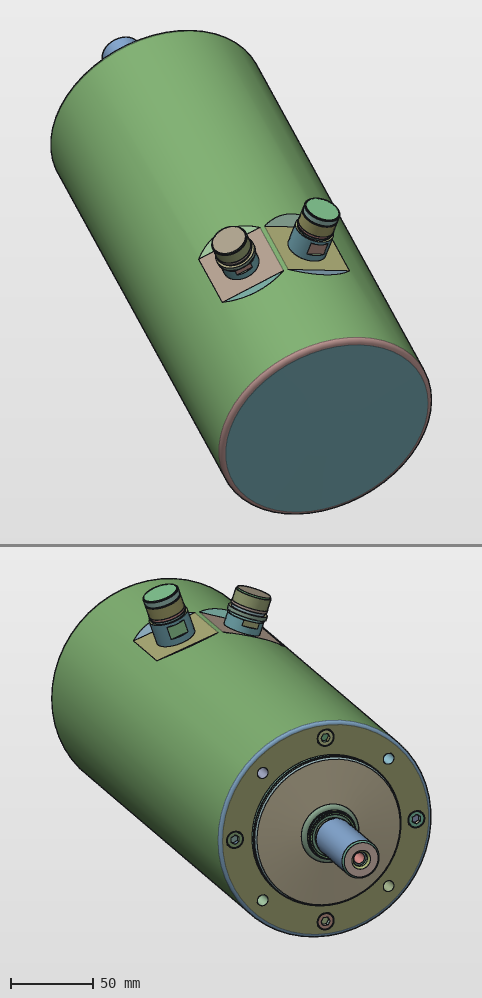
import cadquery as cq
import math

TOTAL_LENGTH = 365.0
BODY_RADIUS = 69.0
FACE_X = 63.0
REAR_CONE_RISE = 1.28
REAR_RIM_X = TOTAL_LENGTH - REAR_CONE_RISE
FRONT_EDGE_RADIUS = 2.2
REAR_EDGE_RADIUS = 3.3

PILOT_RADIUS = 47.5
PILOT_ROOT_RADIUS = 47.8
PILOT_ROOT_X = 61.0
PILOT_CHAMFER = 1.0
CONE_OUTER_X = 58.0
CONE_INNER_X = 55.5
CONE_INNER_RADIUS = 18.5

HUB_RADIUS = 15.7
HUB_FILLET = CONE_INNER_RADIUS - HUB_RADIUS
HUB_FRONT_X = 52.2
SEAL_RADIUS = 15.0
SEAL_FRONT_X = 50.0
SEAL_CHAMFER = 0.5
SEAL_RECESS_RADIUS = 13.5
SEAL_RECESS_DEPTH = 1.0

SHAFT_RADIUS = 12.0
SHAFT_END_CHAMFER = 1.0
SHAFT_TAPER_X = 47.5
SHAFT_NECK_X = 48.5
SHAFT_NECK_RADIUS = 11.3

CENTRE_MOUTH_DIAMETER = 12.0
CENTRE_SINK_DIAMETER = 9.0
CENTRE_SINK_DEPTH = 3.5
THREAD_DIAMETER = 7.0
CENTRE_HOLE_DEPTH = 18.2
DRILL_POINT_ANGLE = 120.0

MOUNT_CIRCLE_RADIUS = 57.5
MOUNT_HOLE_DEPTH = 14.5
SCREW_CIRCLE_RADIUS = 58.8
SCREW_POCKET_DIAMETER = 11.0
SCREW_HEAD_DIAMETER = 10.0
SCREW_POCKET_DEPTH = 6.0
SCREW_SOCKET_WIDTH = 5.0
SCREW_SOCKET_DEPTH = 3.0

SEAT_X = 271.0
SEAT_ANGLE = 19.0
SEAT_RADIUS = 65.7
SEAT_LENGTH = 41.5
SEAT_FLANK_ANGLE = 21.0
SEAT_CUT_HEIGHT = 7.3
SEAT_CUT_WIDTH = 51.0

TALL_STEPS = [
    (15.0, 24.5),
    (16.5, 22.0),
    (18.2, 23.0),
    (26.0, 22.5),
    (26.5, 22.0),
    (30.3, 22.5),
    (31.0, 21.0),
]
SHORT_STEPS = [
    (8.0, 23.0),
    (10.0, 21.0),
    (12.5, 25.0),
    (14.2, 21.0),
    (16.0, 23.0),
    (23.5, 22.5),
    (24.5, 21.0),
]

FLAT_BOTTOM = 4.5
TALL_FLAT_TOP = 12.8
TALL_ACROSS_FLATS = 21.5
SHORT_FLAT_TOP = 8.0
SHORT_ACROSS_FLATS = 20.5


def revolve_about_x(points):
    """Solid of revolution about X from a closed (x, radius) outline."""
    return cq.Workplane("XY").polyline(points).close().revolve(360, (0, 0, 0), (1, 0, 0))


def motor_blank():
    """Housing, pilot, seal hub and shaft turned as one solid."""
    outline = (
        cq.Workplane("XY")
        .moveTo(0, 0)
        .lineTo(0, SHAFT_RADIUS - SHAFT_END_CHAMFER)
        .lineTo(SHAFT_END_CHAMFER, SHAFT_RADIUS)
        .lineTo(SHAFT_TAPER_X, SHAFT_RADIUS)
        .lineTo(SHAFT_NECK_X, SHAFT_NECK_RADIUS)
        .lineTo(SEAL_FRONT_X + SEAL_RECESS_DEPTH, SHAFT_NECK_RADIUS)
        .lineTo(SEAL_FRONT_X + SEAL_RECESS_DEPTH, SEAL_RECESS_RADIUS)
        .lineTo(SEAL_FRONT_X, SEAL_RECESS_RADIUS)
        .lineTo(SEAL_FRONT_X, SEAL_RADIUS - SEAL_CHAMFER)
        .lineTo(SEAL_FRONT_X + SEAL_CHAMFER, SEAL_RADIUS)
        .lineTo(HUB_FRONT_X, SEAL_RADIUS)
        .lineTo(HUB_FRONT_X, HUB_RADIUS)
        .lineTo(CONE_INNER_X - HUB_FILLET, HUB_RADIUS)
        .radiusArc((CONE_INNER_X, CONE_INNER_RADIUS), HUB_FILLET)
        .lineTo(CONE_OUTER_X, PILOT_RADIUS - PILOT_CHAMFER)
        .lineTo(CONE_OUTER_X + PILOT_CHAMFER, PILOT_RADIUS)
        .lineTo(PILOT_ROOT_X, PILOT_RADIUS)
        .lineTo(PILOT_ROOT_X, PILOT_ROOT_RADIUS)
        .lineTo(FACE_X, PILOT_ROOT_RADIUS)
        .lineTo(FACE_X, BODY_RADIUS - FRONT_EDGE_RADIUS)
        .radiusArc((FACE_X + FRONT_EDGE_RADIUS, BODY_RADIUS), FRONT_EDGE_RADIUS)
        .lineTo(REAR_RIM_X - REAR_EDGE_RADIUS, BODY_RADIUS)
        .radiusArc((REAR_RIM_X, BODY_RADIUS - REAR_EDGE_RADIUS), REAR_EDGE_RADIUS)
        .lineTo(TOTAL_LENGTH, 0)
        .close()
    )
    return outline.revolve(360, (0, 0, 0), (1, 0, 0))


def tilt(shape, angle):
    """Turn a shape about the motor axis; a positive angle leans it towards -Y."""
    return shape.rotate((0, 0, 0), (1, 0, 0), angle)


def drill_point(radius):
    """Length of the conical tip left by a drill."""
    return radius / math.tan(math.radians(DRILL_POINT_ANGLE / 2))


def centre_hole():
    """Countersunk, drilled hole along the shaft axis."""
    mouth = CENTRE_MOUTH_DIAMETER / 2
    sink = CENTRE_SINK_DIAMETER / 2
    bore = THREAD_DIAMETER / 2
    return revolve_about_x([
        (0, 0),
        (0, mouth),
        (mouth - sink, sink),
        (CENTRE_SINK_DEPTH, sink),
        (CENTRE_SINK_DEPTH, bore),
        (CENTRE_HOLE_DEPTH, bore),
        (CENTRE_HOLE_DEPTH + drill_point(bore), 0),
    ])


def mount_hole():
    """Tapped blind hole, at the top of the flange before it is turned into place."""
    bore = THREAD_DIAMETER / 2
    hole = revolve_about_x([
        (0, 0),
        (0, bore),
        (MOUNT_HOLE_DEPTH, bore),
        (MOUNT_HOLE_DEPTH + drill_point(bore), 0),
    ])
    return hole.translate((FACE_X, 0, MOUNT_CIRCLE_RADIUS))


def screw_recess():
    """Gap around a sunk screw head together with its hexagon socket."""
    plane = cq.Workplane("YZ", origin=(FACE_X, 0, SCREW_CIRCLE_RADIUS))
    gap = (
        plane.circle(SCREW_POCKET_DIAMETER / 2)
        .circle(SCREW_HEAD_DIAMETER / 2)
        .extrude(SCREW_POCKET_DEPTH)
    )
    corner_diameter = SCREW_SOCKET_WIDTH / math.cos(math.pi / 6)
    socket = plane.polygon(6, corner_diameter).extrude(SCREW_SOCKET_DEPTH)
    return gap.union(socket)


def seat_cut(angle):
    """Flat seat with sloping ends, tilted about the motor axis."""
    half = SEAT_LENGTH / 2
    top = SEAT_RADIUS + SEAT_CUT_HEIGHT
    flare = SEAT_CUT_HEIGHT / math.tan(math.radians(SEAT_FLANK_ANGLE))
    cut = (
        cq.Workplane("XZ")
        .polyline([
            (SEAT_X - half, SEAT_RADIUS),
            (SEAT_X + half, SEAT_RADIUS),
            (SEAT_X + half + flare, top),
            (SEAT_X - half - flare, top),
        ])
        .close()
        .extrude(SEAT_CUT_WIDTH / 2, both=True)
    )
    return tilt(cut, angle)


def build_motor():
    """Turned motor with its shaft, flange holes and connector seats."""
    motor = motor_blank().cut(centre_hole())
    for quarter in range(4):
        motor = motor.cut(tilt(mount_hole(), 45 + 90 * quarter))
        motor = motor.cut(tilt(screw_recess(), 90 * quarter))
    for angle in (-SEAT_ANGLE, SEAT_ANGLE):
        motor = motor.cut(seat_cut(angle))
    return motor


def turned_connector(steps):
    """Stack of cylinders standing on Z = 0, each given as (top height, diameter)."""
    points = [(0, 0)]
    bottom = 0
    for top, diameter in steps:
        points.append((diameter / 2, bottom))
        points.append((diameter / 2, top))
        bottom = top
    points.append((0, bottom))
    return cq.Workplane("XZ").polyline(points).close().revolve(360, (0, 0, 0), (0, 1, 0))


def cut_flats(connector, across_flats, bottom, top):
    """Mill a wrench flat on the -X and +X sides between two heights."""
    waste = (
        cq.Workplane("XY", origin=(0, 0, bottom))
        .pushPoints([(-across_flats, 0), (across_flats, 0)])
        .rect(across_flats, 2 * across_flats)
        .extrude(top - bottom)
    )
    return connector.cut(waste)


def place_on_seat(connector, angle):
    """Stand a connector on the tilted seat floor."""
    return tilt(connector.translate((SEAT_X, 0, SEAT_RADIUS)), angle)


def build_tall_connector():
    """Taller connector, leaning towards +Y."""
    connector = turned_connector(TALL_STEPS)
    connector = cut_flats(connector, TALL_ACROSS_FLATS, FLAT_BOTTOM, TALL_FLAT_TOP)
    return place_on_seat(connector, -SEAT_ANGLE)


def build_short_connector():
    """Shorter connector, leaning towards -Y."""
    connector = turned_connector(SHORT_STEPS)
    connector = cut_flats(connector, SHORT_ACROSS_FLATS, FLAT_BOTTOM, SHORT_FLAT_TOP)
    return place_on_seat(connector, SEAT_ANGLE)


motor = build_motor()
tall_connector = build_tall_connector()
short_connector = build_short_connector()

result = cq.Compound.makeCompound([motor.val(), tall_connector.val(), short_connector.val()])